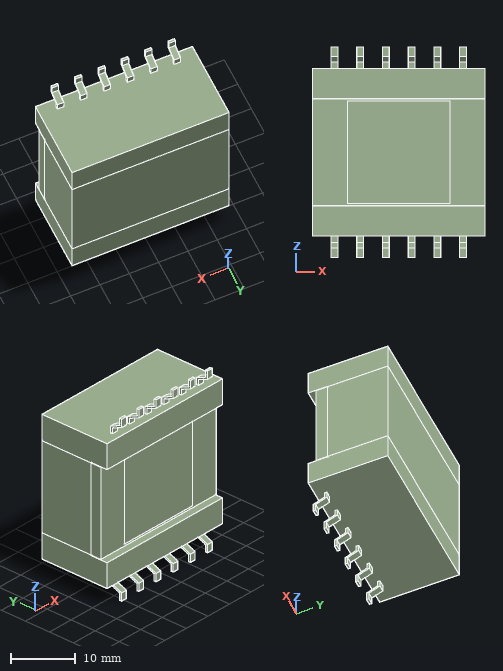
import cadquery as cq


BODY_WIDTH = 26.78
BODY_HEIGHT = 26.0
REAR_DEPTH = 10.22

CORE_HEIGHT = 16.53
PLATE_DEPTH = 2.02
CORE_BACK_WALL = PLATE_DEPTH
WINDOW_SIZE = 15.8

RAIL_DEPTH = 3.33
RAIL_CLEARANCE = 0.1

PIN_COUNT = 6
PIN_PITCH = 4.0
PIN_WIDTH = 1.1
PIN_THICKNESS = 0.42
PIN_TIP_Z = 16.33
STEM_BACK_Y = -1.47
FOOT_FRONT_Y = -3.8
INNER_BEND_Z = 14.0
OUTER_BEND_Z = 14.83
BEND_OFFSET = 0.2

CORE_TOP = CORE_HEIGHT / 2
BODY_TOP = BODY_HEIGHT / 2
NECK_BACK_Y = REAR_DEPTH - CORE_BACK_WALL


def block(width, y_front, y_back, z_low, z_high):
    """Box centred on x = 0 between the given y and z limits."""
    return (
        cq.Workplane("XY")
        .box(width, y_back - y_front, z_high - z_low, centered=(True, False, False))
        .translate((0, y_front, z_low))
    )


def make_neck():
    """Winding block that joins both bobbin ends through the core channel."""
    return block(WINDOW_SIZE, 0, NECK_BACK_Y, -CORE_TOP, CORE_TOP)


def make_window_boss():
    """Square front of the winding block, flush with the face of the closing plate."""
    return block(WINDOW_SIZE, -PLATE_DEPTH, 0, -WINDOW_SIZE / 2, WINDOW_SIZE / 2)


def make_channel_core():
    """Rear core half with an open channel for the neck."""
    return block(BODY_WIDTH, 0, REAR_DEPTH, -CORE_TOP, CORE_TOP).cut(make_neck())


def make_closing_plate():
    """Front core half with the square window."""
    return block(BODY_WIDTH, -PLATE_DEPTH, 0, -CORE_TOP, CORE_TOP).cut(make_window_boss())


def make_upper_pin(x):
    """Gull-wing pin that leaves the upper rail and steps forward to its foot."""
    stem_front_y = STEM_BACK_Y - PIN_THICKNESS
    foot_back_y = FOOT_FRONT_Y + PIN_THICKNESS
    profile = [
        (STEM_BACK_Y, BODY_TOP),
        (STEM_BACK_Y, INNER_BEND_Z + BEND_OFFSET),
        (foot_back_y, OUTER_BEND_Z + BEND_OFFSET),
        (foot_back_y, PIN_TIP_Z),
        (FOOT_FRONT_Y, PIN_TIP_Z),
        (FOOT_FRONT_Y, OUTER_BEND_Z),
        (stem_front_y, INNER_BEND_Z),
        (stem_front_y, BODY_TOP),
    ]
    pin = cq.Workplane("YZ").polyline(profile).close().extrude(PIN_WIDTH / 2, both=True)
    return pin.translate((x, 0, 0))


def make_upper_end():
    """Upper bobbin end: winding end, terminal rail and row of pins."""
    winding_end = block(BODY_WIDTH, 0, REAR_DEPTH, CORE_TOP, BODY_TOP)
    rail = block(BODY_WIDTH, -RAIL_DEPTH, 0, CORE_TOP + RAIL_CLEARANCE, BODY_TOP)
    end = winding_end.union(rail, clean=False)
    for i in range(PIN_COUNT):
        x = (i - (PIN_COUNT - 1) / 2) * PIN_PITCH
        end = end.union(make_upper_pin(x), clean=False)
    return end


def make_bobbin():
    """Both pinned ends joined by the neck and its window boss."""
    upper_end = make_upper_end()
    lower_end = upper_end.mirror("XY")
    bobbin = make_neck().union(make_window_boss(), clean=False)
    return bobbin.union(upper_end, clean=False).union(lower_end, clean=False)


channel_core = make_channel_core()
closing_plate = make_closing_plate()
bobbin = make_bobbin()

result = cq.Compound.makeCompound([channel_core.val(), closing_plate.val(), *bobbin.solids().vals()])